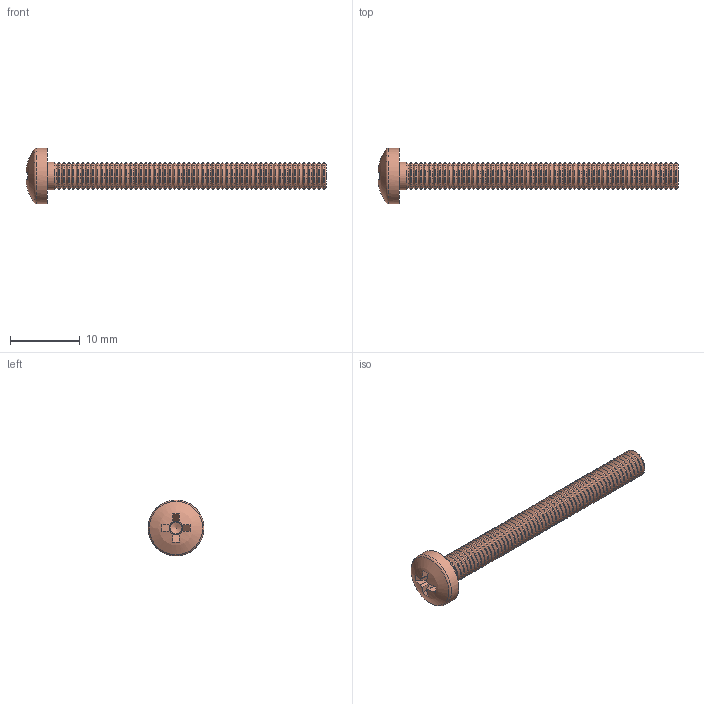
import cadquery as cq
import math


head_radius = 4.0
head_height = 3.09
dome_radius = 6.6
rim_fillet = 0.4

shank_radius = 2.0
shank_length = 40.0
plain_length = 1.08
ridge_count = 56
groove_depth = 0.33
crest_width = 0.12
thread_pitch = (shank_length - plain_length + crest_width / 2) / (ridge_count + 0.5)
groove_width = thread_pitch - crest_width
root_radius = shank_radius - groove_depth

core_mouth_radius = 0.96
core_bottom_radius = 0.86
core_depth = 1.9
core_tip_depth = 0.4
wing_width = 1.0
wing_mouth_reach = 2.05
wing_bottom_reach = 1.0
wing_depth = 1.65
mouth_clearance = 0.5


def dome_x(radius):
    """X of the domed head surface at a given distance from the axis."""
    return -head_height + dome_radius - math.sqrt(dome_radius**2 - radius**2)


def make_head():
    middle_radius = head_radius / 2
    outline = (
        cq.Workplane("XY")
        .moveTo(-head_height, 0)
        .threePointArc((dome_x(middle_radius), middle_radius), (dome_x(head_radius), head_radius))
        .lineTo(0, head_radius)
        .lineTo(0, 0)
        .close()
    )
    head = outline.revolve(360, (0, 0, 0), (1, 0, 0))
    rim_edge = cq.selectors.NearestToPointSelector((dome_x(head_radius), 0, 0))
    return head.edges(rim_edge).fillet(rim_fillet)


def make_shank():
    outline = cq.Workplane("XY").moveTo(0, 0).lineTo(0, shank_radius)
    for index in range(ridge_count):
        groove_start = plain_length + index * thread_pitch
        groove_end = groove_start + groove_width
        root_x = groove_start + groove_width / 2
        outline = outline.lineTo(groove_start, shank_radius).lineTo(root_x, root_radius)
        outline = outline.lineTo(groove_end, shank_radius)
    outline = outline.lineTo(shank_length - groove_width / 2, shank_radius)
    outline = outline.lineTo(shank_length, root_radius)
    return outline.lineTo(shank_length, 0).close().revolve(360, (0, 0, 0), (1, 0, 0))


def make_recess():
    mouth_x = dome_x(core_mouth_radius)
    floor_x = -head_height + core_depth
    core_slope = (core_mouth_radius - core_bottom_radius) / (floor_x - mouth_x)
    outer_x = mouth_x - mouth_clearance
    core = (
        cq.Workplane("XY")
        .moveTo(outer_x, 0)
        .lineTo(outer_x, core_mouth_radius + core_slope * mouth_clearance)
        .lineTo(floor_x, core_bottom_radius)
        .lineTo(floor_x + core_tip_depth, 0)
        .close()
        .revolve(360, (0, 0, 0), (1, 0, 0))
    )
    wing_floor_x = -head_height + wing_depth
    wing_mouth_x = dome_x(wing_mouth_reach)
    wing_slope = (wing_mouth_reach - wing_bottom_reach) / (wing_floor_x - wing_mouth_x)
    wing_reach = wing_mouth_reach + wing_slope * (wing_mouth_x - outer_x)
    wing_pair = (
        cq.Workplane("XY")
        .moveTo(outer_x, -wing_reach)
        .lineTo(outer_x, wing_reach)
        .lineTo(wing_floor_x, wing_bottom_reach)
        .lineTo(wing_floor_x, -wing_bottom_reach)
        .close()
        .extrude(wing_width / 2, both=True)
    )
    crossing_pair = wing_pair.rotate((0, 0, 0), (1, 0, 0), 90)
    return core.union(wing_pair).union(crossing_pair)


result = make_head().union(make_shank()).cut(make_recess())